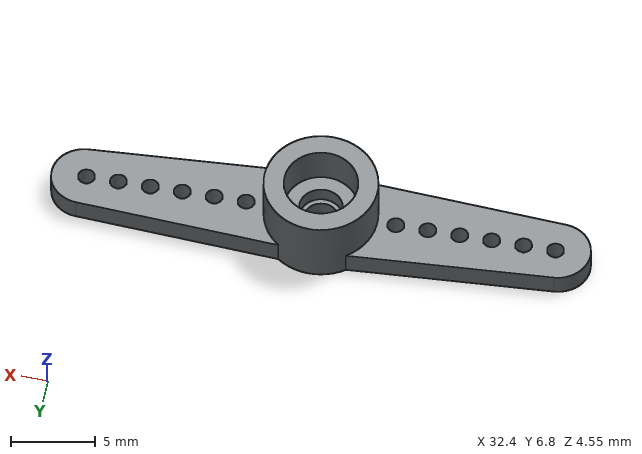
import cadquery as cq
import math


HUB_DIAMETER = 6.8
HUB_HEIGHT = 4.55

SOCKET_DIAMETER = 4.4
SOCKET_DEPTH = 2.5
RECESS_DIAMETER = 2.6
RECESS_DEPTH = 1.0
SCREW_HOLE_DIAMETER = 2.0

OVERALL_LENGTH = 32.4
ARM_THICKNESS = 1.45
TIP_RADIUS = 1.95
ROOT_X = 2.03

LINK_HOLE_DIAMETER = 1.0
LINK_HOLE_COUNT = 6
INNER_HOLE_X = 4.5
OUTER_HOLE_X = 14.1

HUB_RADIUS = HUB_DIAMETER / 2
TIP_X = OVERALL_LENGTH / 2
TIP_CENTER_X = TIP_X - TIP_RADIUS
ROOT_HALF_WIDTH = math.sqrt(HUB_RADIUS**2 - ROOT_X**2)
LINK_HOLE_PITCH = (OUTER_HOLE_X - INNER_HOLE_X) / (LINK_HOLE_COUNT - 1)
SOCKET_FLOOR_Z = HUB_HEIGHT - SOCKET_DEPTH
RECESS_FLOOR_Z = SOCKET_FLOOR_Z - RECESS_DEPTH


def cylinder_between(diameter, bottom, top):
    """Upright cylinder on the hub axis."""
    return cq.Workplane("XY").workplane(offset=bottom).circle(diameter / 2).extrude(top - bottom)


def make_hub():
    return cylinder_between(HUB_DIAMETER, 0, HUB_HEIGHT)


def make_arm(side):
    """Arm along +X (side = 1) or -X (side = -1), its flanks tangent to the tip arc."""
    root_to_center = TIP_CENTER_X - ROOT_X
    center_distance = math.hypot(root_to_center, ROOT_HALF_WIDTH)
    taper = math.atan2(ROOT_HALF_WIDTH, root_to_center) - math.asin(TIP_RADIUS / center_distance)
    tangent_x = TIP_CENTER_X + TIP_RADIUS * math.sin(taper)
    tangent_y = TIP_RADIUS * math.cos(taper)
    center_half_width = ROOT_HALF_WIDTH + ROOT_X * math.tan(taper)
    return (
        cq.Workplane("XY")
        .moveTo(0, center_half_width)
        .lineTo(side * tangent_x, tangent_y)
        .threePointArc((side * TIP_X, 0), (side * tangent_x, -tangent_y))
        .lineTo(0, -center_half_width)
        .close()
        .extrude(ARM_THICKNESS)
    )


def make_link_holes(side):
    """Row of through holes in the arm on the given side."""
    centers = [(side * (INNER_HOLE_X + i * LINK_HOLE_PITCH), 0) for i in range(LINK_HOLE_COUNT)]
    return cq.Workplane("XY").pushPoints(centers).circle(LINK_HOLE_DIAMETER / 2).extrude(ARM_THICKNESS)


def make_bore():
    """Stepped bore through the hub, widest at the top."""
    socket = cylinder_between(SOCKET_DIAMETER, SOCKET_FLOOR_Z, HUB_HEIGHT)
    recess = cylinder_between(RECESS_DIAMETER, RECESS_FLOOR_Z, SOCKET_FLOOR_Z)
    screw_hole = cylinder_between(SCREW_HOLE_DIAMETER, 0, RECESS_FLOOR_Z)
    return socket.union(recess).union(screw_hole)


result = make_hub()
for side in (-1, 1):
    result = result.union(make_arm(side))
    result = result.cut(make_link_holes(side))
result = result.cut(make_bore())